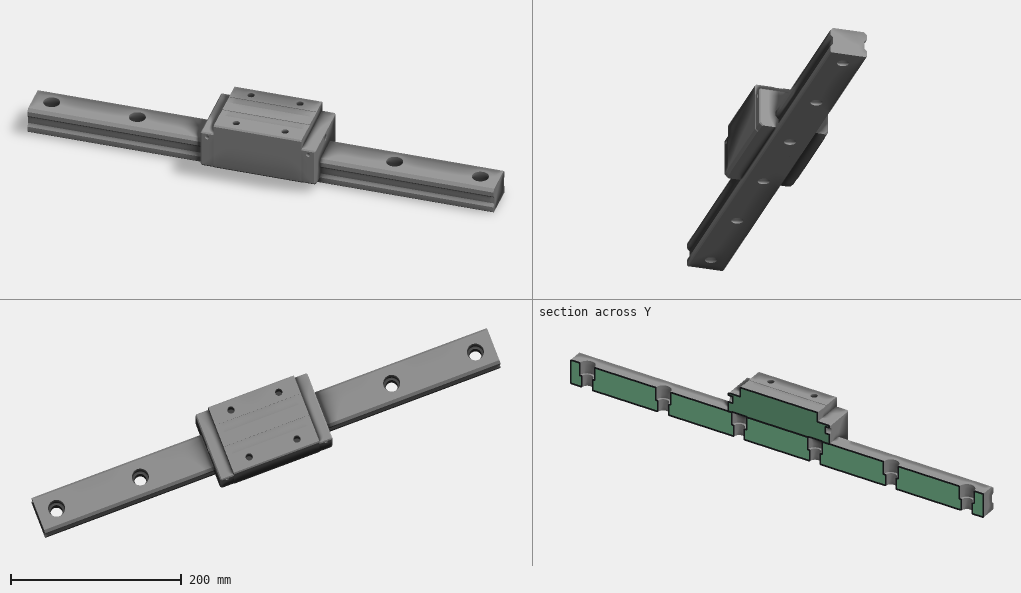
import cadquery as cq

RAIL_LENGTH = 570.0
RAIL_WIDTH = 45.0
RAIL_HEIGHT = 32.5
RAIL_BASE_CHAMFER = 1.4
RAIL_TOP_CHAMFER = 3.5
WAIST_DEPTH = 3.5
FOOT_HEIGHT = 8.0
HEAD_UNDERSIDE = 23.5

RAIL_HOLE_COUNT = 6
RAIL_HOLE_PITCH = 105.0
RAIL_HOLE_DIAMETER = 14.0
COUNTERBORE_DIAMETER = 20.0
COUNTERBORE_DEPTH = 17.0

CARRIAGE_CENTER_X = 2.55
CARRIAGE_LENGTH = 140.0
CARRIAGE_WIDTH = 85.5
CARRIAGE_TOP = 70.0
CARRIAGE_BOTTOM = 8.5
CARRIAGE_BOTTOM_CHAMFER = 3.5
BLOCK_TOP_CHAMFER = 1.6
CAP_LENGTH = 16.5
CAP_WIDTH = 84.5
CAP_TOP = 57.5
CAP_CHAMFER = 1.4
BLOCK_LENGTH = CARRIAGE_LENGTH - 2 * CAP_LENGTH

GROOVE_INNER_Y = 8.0
GROOVE_OUTER_Y = 19.5
GROOVE_DEPTH = 0.5

TOP_HOLE_DIAMETER = 8.5
TOP_HOLE_SPACING = 60.0
TOP_HOLE_DEPTH = 17.0

FACE_PORT_DIAMETER = 8.5
FACE_PORT_Z = 49.5
FACE_PORT_DEPTH = 5.5
SIDE_PORT_DIAMETER = 5.2
SIDE_PORT_Z = 51.5
SIDE_PORT_SPACING = 123.5
SIDE_PORT_DEPTH = 5.5


def rail_bar():
    """Rail cross-section extruded over the full length, without holes."""
    side = RAIL_WIDTH / 2
    waist = side - WAIST_DEPTH
    half_outline = [
        (side - RAIL_BASE_CHAMFER, 0),
        (side, RAIL_BASE_CHAMFER),
        (side, FOOT_HEIGHT),
        (waist, FOOT_HEIGHT + WAIST_DEPTH),
        (waist, HEAD_UNDERSIDE - WAIST_DEPTH),
        (side, HEAD_UNDERSIDE),
        (side, RAIL_HEIGHT - RAIL_TOP_CHAMFER),
        (side - RAIL_TOP_CHAMFER, RAIL_HEIGHT),
    ]
    mirrored_half = [(-y, z) for y, z in reversed(half_outline)]
    profile = cq.Workplane("YZ").polyline(half_outline + mirrored_half).close()
    return profile.extrude(RAIL_LENGTH / 2, both=True)


def make_rail():
    """Rail with its row of counterbored mounting holes."""
    return (
        rail_bar()
        .faces(">Z")
        .workplane(origin=(0, 0, RAIL_HEIGHT))
        .rarray(RAIL_HOLE_PITCH, 5.5, RAIL_HOLE_COUNT, 1)
        .cboreHole(RAIL_HOLE_DIAMETER, COUNTERBORE_DIAMETER, COUNTERBORE_DEPTH)
    )


def carriage_prism(length, width, top):
    """Box centered on the carriage, with both lower long edges chamfered."""
    height = top - CARRIAGE_BOTTOM
    return (
        cq.Workplane("XY", origin=(CARRIAGE_CENTER_X, 0, CARRIAGE_BOTTOM))
        .box(length, width, height, centered=(True, True, False))
        .edges("|X and <Z")
        .chamfer(CARRIAGE_BOTTOM_CHAMFER)
    )


def carriage_body():
    """Block joined with the lower, narrower end caps, chamfered around their tops and outer faces."""
    caps = (
        carriage_prism(CARRIAGE_LENGTH, CAP_WIDTH, CAP_TOP)
        .faces("<X or >X or >Z")
        .edges("not <Z")
        .chamfer(CAP_CHAMFER)
    )
    block = (
        carriage_prism(BLOCK_LENGTH, CARRIAGE_WIDTH, CARRIAGE_TOP)
        .edges("|X and >Z")
        .chamfer(BLOCK_TOP_CHAMFER)
    )
    return block.union(caps)


def top_grooves():
    """Pair of shallow grooves running along the block top."""
    groove_width = GROOVE_OUTER_Y - GROOVE_INNER_Y
    return (
        cq.Workplane("XY", origin=(CARRIAGE_CENTER_X, 0, CARRIAGE_TOP))
        .rarray(5.5, GROOVE_OUTER_Y + GROOVE_INNER_Y, 1, 2)
        .rect(BLOCK_LENGTH, groove_width)
        .extrude(-GROOVE_DEPTH)
    )


def top_holes():
    """Four blind bores in the block top."""
    return (
        cq.Workplane("XY", origin=(CARRIAGE_CENTER_X, 0, CARRIAGE_TOP))
        .rarray(TOP_HOLE_SPACING, TOP_HOLE_SPACING, 2, 2)
        .circle(TOP_HOLE_DIAMETER / 2)
        .extrude(-TOP_HOLE_DEPTH)
    )


def port(x, y, z, direction, diameter, depth):
    """Blind bore that starts at a point and runs along a direction."""
    radius = diameter / 2
    return cq.Solid.makeCylinder(radius, depth, cq.Vector(x, y, z), cq.Vector(*direction))


def end_cap_ports():
    """One port in each outer end face and one in each side of both end caps."""
    ports = []
    for end in (-1, 1):
        face_x = CARRIAGE_CENTER_X + end * CARRIAGE_LENGTH / 2
        ports.append(port(face_x, 0, FACE_PORT_Z, (-end, 0, 0), FACE_PORT_DIAMETER, FACE_PORT_DEPTH))
        side_x = CARRIAGE_CENTER_X + end * SIDE_PORT_SPACING / 2
        for side in (-1, 1):
            side_y = side * CAP_WIDTH / 2
            ports.append(
                port(side_x, side_y, SIDE_PORT_Z, (0, -side, 0), SIDE_PORT_DIAMETER, SIDE_PORT_DEPTH)
            )
    return ports


def make_carriage():
    """Carriage that straddles the rail, with its grooves, bores and ports."""
    carriage = carriage_body().cut(rail_bar()).cut(top_grooves()).cut(top_holes())
    for bore in end_cap_ports():
        carriage = carriage.cut(cq.Workplane(obj=bore))
    return carriage


rail = make_rail()
carriage = make_carriage()

result = cq.Compound.makeCompound([rail.val(), carriage.val()])